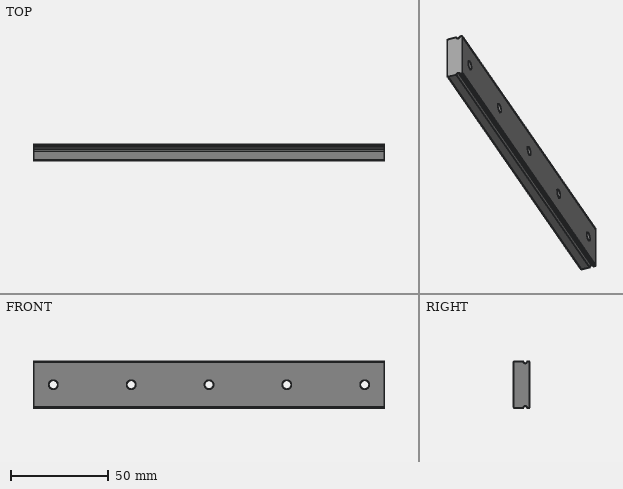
import cadquery as cq

length = 180.0
thickness = 8.5
height = 24.0
front_chamfer = 0.5
back_chamfer = 0.4

groove_depth = 1.0
groove_half_width = 1.0
groove_to_back = 2.3
arc_bulge = 0.09

hole_count = 5
hole_diameter = 4.5
hole_pitch = 40.0


def make_bar():
    """Plain bar with its four long edges chamfered."""
    bar = cq.Workplane("XY").box(length, thickness, height)
    bar = bar.faces("<Y").edges("|X").chamfer(front_chamfer)
    return bar.faces(">Y").edges("|X").chamfer(back_chamfer)


def make_groove(side):
    """Gothic-arch cutter for the top (side = 1) or bottom (side = -1) face."""
    groove_y = thickness / 2 - groove_to_back
    face_z = side * height / 2
    bottom = (groove_y, face_z - side * groove_depth)
    arc_mid_offset = groove_half_width / 2 + arc_bulge
    arc_mid_z = face_z - side * (groove_depth / 2 + arc_bulge)
    return (
        cq.Workplane("YZ")
        .moveTo(groove_y - groove_half_width, face_z)
        .threePointArc((groove_y - arc_mid_offset, arc_mid_z), bottom)
        .threePointArc((groove_y + arc_mid_offset, arc_mid_z), (groove_y + groove_half_width, face_z))
        .close()
        .extrude(length / 2, both=True)
    )


def make_holes():
    """Cylinders for the evenly spaced holes through the thickness."""
    return (
        cq.Workplane("XZ")
        .rarray(hole_pitch, 1.8, hole_count, 1)
        .circle(hole_diameter / 2)
        .extrude(thickness, both=True)
    )


result = make_bar().cut(make_holes())
for side in (1, -1):
    result = result.cut(make_groove(side))